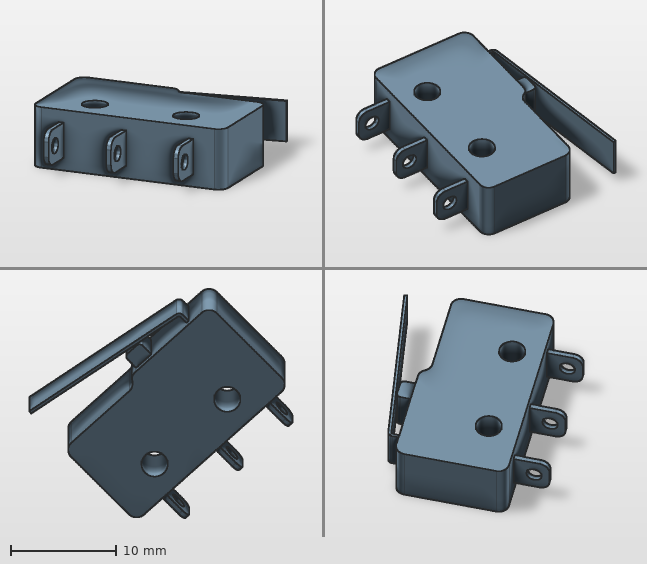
import cadquery as cq
import math

BODY_LENGTH = 20.0
BODY_HEIGHT = 11.0
BODY_THICKNESS = 6.0
CORNER_RADIUS = 1.0
STEP_DROP = 1.0
STEP_START_X = 9.7
STEP_RADIUS = 1.0

MOUNT_HOLE_DIAMETER = 2.5
MOUNT_HOLE_SPACING = 9.5
MOUNT_HOLE_Y = 3.0

TERMINAL_CENTRES_X = (3.1, 9.6, 16.6)
TERMINAL_THICKNESS = 0.5
TERMINAL_WIDTH = 3.5
TERMINAL_LENGTH = 3.5
TERMINAL_CORNER_RADIUS = 1.0
TERMINAL_HOLE_DIAMETER = 1.5
TERMINAL_HOLE_OFFSET = 2.0

PLUNGER_LEFT_X = 7.6
PLUNGER_LENGTH = 2.0
PLUNGER_HEIGHT = 1.6
PLUNGER_WIDTH = 4.0
PLUNGER_CORNER_RADIUS = 0.4

LEVER_LEFT_X = 2.7
LEVER_THICKNESS = 0.3
LEVER_WIDTH = 4.0
LEVER_RISE = 3.8
LEVER_ANGLE = 8.4
LEVER_INNER_RADIUS = 0.2

OVERLAP = 0.5


def extrude_centred(outline, width):
    """Extrude an XY outline symmetrically about Z = 0."""
    return outline.extrude(width / 2, both=True)


def make_housing():
    """Rounded block whose top edge steps down through an S-shaped curve."""
    low_top = BODY_HEIGHT - STEP_DROP
    turn = math.acos(1 - STEP_DROP / (2 * STEP_RADIUS))
    half_run = STEP_RADIUS * math.sin(turn)
    step_middle = (STEP_START_X + half_run, BODY_HEIGHT - STEP_DROP / 2)
    step_end = (STEP_START_X + 2 * half_run, low_top)
    outline = (
        cq.Workplane("XY")
        .lineTo(0, BODY_HEIGHT)
        .lineTo(STEP_START_X, BODY_HEIGHT)
        .radiusArc(step_middle, STEP_RADIUS)
        .radiusArc(step_end, -STEP_RADIUS)
        .lineTo(BODY_LENGTH, low_top)
        .lineTo(BODY_LENGTH, 0)
        .close()
    )
    block = extrude_centred(outline, BODY_THICKNESS)
    outer_corners = block.edges("|Z").edges("<X or >X")
    return outer_corners.fillet(CORNER_RADIUS)


def make_mount_holes():
    """Pair of through holes placed symmetrically along the housing."""
    centres = [
        (BODY_LENGTH / 2 + side * MOUNT_HOLE_SPACING / 2, MOUNT_HOLE_Y)
        for side in (-1, 1)
    ]
    circles = cq.Workplane("XY").pushPoints(centres).circle(MOUNT_HOLE_DIAMETER / 2)
    return extrude_centred(circles, BODY_THICKNESS)


def make_terminal(centre_x):
    """Flat tab with a rounded free end and a wire hole."""
    tab = (
        cq.Workplane("XY")
        .box(TERMINAL_THICKNESS, TERMINAL_LENGTH + OVERLAP, TERMINAL_WIDTH)
        .translate((centre_x, (OVERLAP - TERMINAL_LENGTH) / 2, 0))
        .edges("|X and <Y")
        .fillet(TERMINAL_CORNER_RADIUS)
    )
    wire_hole = (
        cq.Workplane("YZ", origin=(centre_x, -TERMINAL_HOLE_OFFSET, 0))
        .circle(TERMINAL_HOLE_DIAMETER / 2)
        .extrude(TERMINAL_THICKNESS, both=True)
    )
    return tab.cut(wire_hole)


def make_plunger():
    """Block with two rounded top edges."""
    centre_x = PLUNGER_LEFT_X + PLUNGER_LENGTH / 2
    centre_y = BODY_HEIGHT + (PLUNGER_HEIGHT - OVERLAP) / 2
    return (
        cq.Workplane("XY")
        .box(PLUNGER_LENGTH, PLUNGER_HEIGHT + OVERLAP, PLUNGER_WIDTH)
        .translate((centre_x, centre_y, 0))
        .edges("|Z and >Y")
        .fillet(PLUNGER_CORNER_RADIUS)
    )


def make_lever():
    """Sheet strip with an upright leg, one bend and a sloping arm."""
    angle = math.radians(LEVER_ANGLE)
    slope = math.tan(angle)
    foot_y = BODY_HEIGHT - OVERLAP
    leg_right_x = LEVER_LEFT_X + LEVER_THICKNESS

    lower_tip_x = BODY_LENGTH
    upper_tip_x = lower_tip_x - LEVER_THICKNESS * math.sin(angle)
    upper_tip_y = BODY_HEIGHT + LEVER_RISE
    lower_tip_y = upper_tip_y - LEVER_THICKNESS * math.cos(angle)

    outer_bend = (LEVER_LEFT_X, upper_tip_y - slope * (upper_tip_x - LEVER_LEFT_X))
    inner_bend = (leg_right_x, lower_tip_y - slope * (lower_tip_x - leg_right_x))
    outline = (
        cq.Workplane("XY")
        .moveTo(LEVER_LEFT_X, foot_y)
        .lineTo(*outer_bend)
        .lineTo(upper_tip_x, upper_tip_y)
        .lineTo(lower_tip_x, lower_tip_y)
        .lineTo(*inner_bend)
        .lineTo(leg_right_x, foot_y)
        .close()
    )
    return (
        extrude_centred(outline, LEVER_WIDTH)
        .edges(cq.NearestToPointSelector((*inner_bend, 0)))
        .fillet(LEVER_INNER_RADIUS)
        .edges(cq.NearestToPointSelector((*outer_bend, 0)))
        .fillet(LEVER_INNER_RADIUS + LEVER_THICKNESS)
    )


result = make_housing().cut(make_mount_holes())
for terminal_x in TERMINAL_CENTRES_X:
    result = result.union(make_terminal(terminal_x))
result = result.union(make_plunger()).union(make_lever())